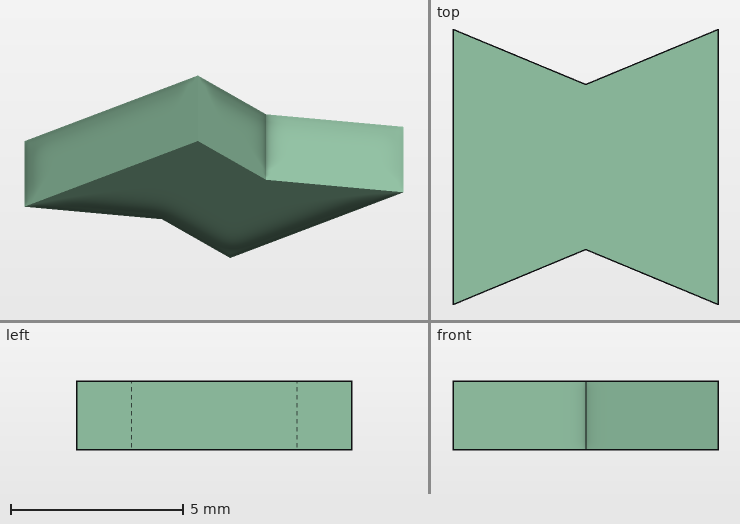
import cadquery as cq

width = 7.7
length = 8.0
thickness = 2.0
waist_length = 4.8

half_width = width / 2
half_length = length / 2
half_waist = waist_length / 2

outline = [
    (-half_width, -half_length),
    (0, -half_waist),
    (half_width, -half_length),
    (half_width, half_length),
    (0, half_waist),
    (-half_width, half_length),
]

result = cq.Workplane("XY").polyline(outline).close().extrude(thickness)